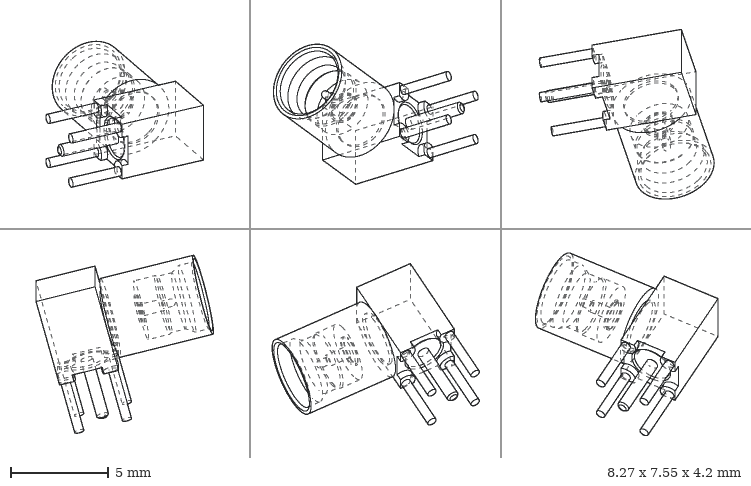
import cadquery as cq


overall_length = 8.27
block_width = 3.15
block_depth = 4.74
block_left = overall_length - block_width
block_center_x = overall_length - block_width / 2
block_front = -2.34
foot_height = 0.36
block_floor = block_front + foot_height
block_back = block_front + block_depth

sleeve_length = 4.95
sleeve_radius = 2.1
collar_radius = 1.44

mouth_radius = 1.92
entry_radius = 1.77
bore_radius = 1.49
mouth_chamfer_end = 0.14
entry_end = 0.86
taper_end = 1.3
flare_start = 2.06
flare_length = 0.115
flare_depth = 0.07
bore_end = 3.31

gap_radius = 0.8
gap_depth = 0.165
insulator_radius = 0.72
insulator_rounding = 0.06
contact_radius = 0.31
contact_tip_radius = 0.2
contact_shoulder_x = 2.15
contact_tip_x = 1.49

leg_pitch = 2.54
leg_radius = 0.25
leg_length = 2.81
foot_radius = 0.55
pin_radius = 0.315
pin_chamfer = 0.1
recess_radius = 1.13
recess_floor_radius = 1.03
recess_depth = 0.1
pin_tip = block_front - leg_length


def cylinder_x(radius, start, end):
    """Solid cylinder on the socket axis."""
    return cq.Workplane("YZ", origin=(start, 0, 0)).circle(radius).extrude(end - start)


def board_plane(y):
    """XZ plane at position y, centered on the block and extruding towards -Y."""
    return cq.Workplane("XZ", origin=(block_center_x, y, 0))


def revolve_x(profile):
    """Revolve a closed (x, radius) outline about the socket axis."""
    return cq.Workplane("XY").polyline(profile).close().revolve(360, (0, 0, 0), (1, 0, 0))


def corner_cylinders(radius, length):
    """Four cylinders on the leg pattern, running from the block floor towards -Y."""
    return (
        board_plane(block_floor)
        .rect(leg_pitch, leg_pitch, forConstruction=True)
        .vertices()
        .circle(radius)
        .extrude(length)
    )


def make_block():
    """Square block whose front face is cut back between four round-cornered feet."""
    envelope = board_plane(block_back).rect(block_width, block_width).extrude(block_depth)
    body = board_plane(block_back).rect(block_width, block_width).extrude(block_depth - foot_height)
    feet = corner_cylinders(foot_radius, foot_height).intersect(envelope)
    return body.union(feet)


def make_board_recess():
    return (
        board_plane(block_floor)
        .circle(recess_radius)
        .workplane(offset=-recess_depth)
        .circle(recess_floor_radius)
        .loft()
    )


def make_legs():
    return corner_cylinders(leg_radius, foot_height + leg_length)


def make_center_pin():
    pin_root = block_floor + recess_depth
    return (
        board_plane(pin_root)
        .circle(pin_radius)
        .extrude(pin_root - pin_tip)
        .faces("<Y")
        .chamfer(pin_chamfer)
    )


def make_bore():
    relief_radius = bore_radius + flare_depth
    return revolve_x(
        [
            (0, 0),
            (0, mouth_radius),
            (mouth_chamfer_end, entry_radius),
            (entry_end, entry_radius),
            (taper_end, bore_radius),
            (flare_start, bore_radius),
            (flare_start + flare_length, relief_radius),
            (bore_end, relief_radius),
            (bore_end, 0),
        ]
    )


def make_contact():
    shank = cylinder_x(contact_radius, contact_shoulder_x, bore_end)
    dome_center_x = contact_tip_x + contact_tip_radius
    tip = cylinder_x(contact_tip_radius, dome_center_x, contact_shoulder_x)
    dome = cq.Workplane("XY", origin=(dome_center_x, 0, 0)).sphere(contact_tip_radius)
    return shank.union(tip).union(dome)


def make_insulator():
    insulator = cylinder_x(insulator_radius, bore_end, bore_end + gap_depth)
    return insulator.faces("<X").edges().fillet(insulator_rounding)


result = (
    make_block()
    .cut(make_board_recess())
    .union(cylinder_x(sleeve_radius, 0, sleeve_length))
    .union(cylinder_x(collar_radius, sleeve_length, block_left))
    .cut(make_bore())
    .cut(cylinder_x(gap_radius, bore_end, bore_end + gap_depth))
    .union(make_insulator())
    .union(make_contact())
    .union(make_legs())
    .union(make_center_pin())
)